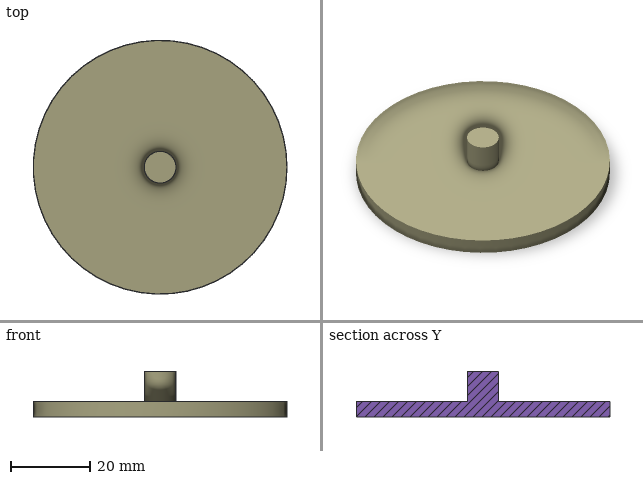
import cadquery as cq

disc_diameter = 63.95
disc_thickness = 3.95
pin_diameter = 8.0
total_height = 11.5

pin_height = total_height - disc_thickness

disc = cq.Workplane("XY").circle(disc_diameter / 2).extrude(disc_thickness)

result = disc.faces(">Z").workplane().circle(pin_diameter / 2).extrude(pin_height)